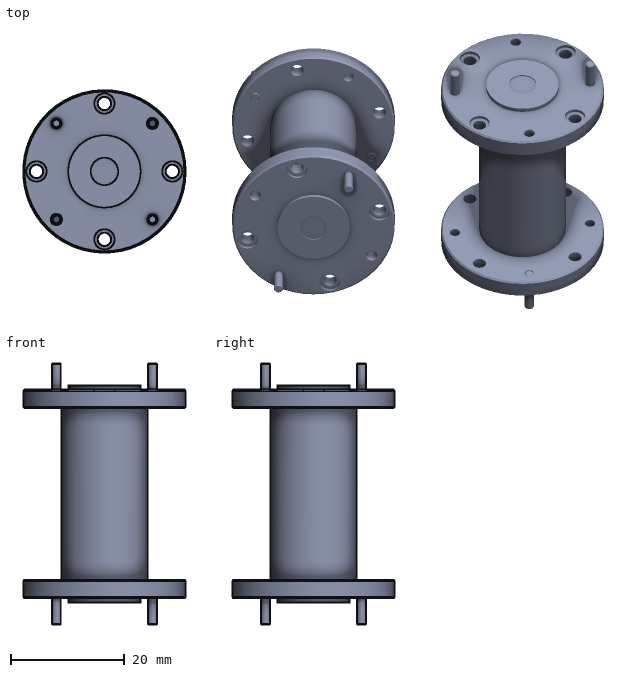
import cadquery as cq
import math

pin_tip_z = 22.92
flange_face_z = 18.35
flange_thickness = 3.3
flange_back_z = flange_face_z - flange_thickness

flange_diameter = 28.55
flange_chamfer = 0.28
tube_diameter = 15.2
boss_diameter = 12.7
boss_height = 0.75
boss_face_z = flange_face_z + boss_height
recess_diameter = 4.8
recess_depth = 0.2

bolt_circle_radius = 11.9
bolt_hole_diameter = 2.3
counterbore_diameter = 3.58
counterbore_depth = 0.55
dowel_hole_diameter = 1.8
dowel_countersink = 0.1
countersink_angle = 45
bolt_angles = [0, 90, 180, 270]
top_pin_angles = [135, 315]
bottom_pin_angles = [45, 225]

pin_diameter = 1.6
pin_chamfer = 0.16
pin_length = pin_tip_z - flange_back_z


def bolt_circle_points(angles):
    """Points on the bolt circle at the given angles in degrees."""
    return [
        (bolt_circle_radius * math.cos(math.radians(a)), bolt_circle_radius * math.sin(math.radians(a)))
        for a in angles
    ]


def cylinders(points, diameter, bottom_z, height):
    """One upright cylinder at each point."""
    return (
        cq.Workplane("XY")
        .workplane(offset=bottom_z)
        .pushPoints(points)
        .circle(diameter / 2)
        .extrude(height)
    )


def disc(diameter, bottom_z, height):
    """A cylinder on the Z axis."""
    return cylinders([(0, 0)], diameter, bottom_z, height)


def countersunk_holes(points, diameter):
    """Cutting shapes for flange through holes that widen at the outer face."""
    cutters = cylinders(points, diameter, flange_back_z, flange_thickness)
    countersinks = (
        cq.Workplane("XY")
        .workplane(offset=flange_face_z)
        .pushPoints(points)
        .circle(diameter / 2 + dowel_countersink)
        .extrude(-dowel_countersink, taper=countersink_angle)
    )
    return cutters.union(countersinks)


def flipped(shape):
    """Turn a shape over about the X axis, so that +Z becomes -Z."""
    return shape.rotate((0, 0, 0), (1, 0, 0), 180)


def make_flange(pin_angles, clearance_angles):
    """The flange at the +Z end, with its boss, recess and holes."""
    flange = disc(flange_diameter, flange_back_z, flange_thickness).edges().chamfer(flange_chamfer)
    flange = flange.union(disc(boss_diameter, flange_face_z, boss_height))
    flange = flange.cut(disc(recess_diameter, boss_face_z - recess_depth, recess_depth))

    bolt_points = bolt_circle_points(bolt_angles)
    counterbore_z = flange_face_z - counterbore_depth
    flange = flange.cut(cylinders(bolt_points, bolt_hole_diameter, flange_back_z, flange_thickness))
    flange = flange.cut(cylinders(bolt_points, counterbore_diameter, counterbore_z, counterbore_depth))

    for angles, diameter in ((pin_angles, pin_diameter), (clearance_angles, dowel_hole_diameter)):
        flange = flange.cut(countersunk_holes(bolt_circle_points(angles), diameter))
    return flange


def make_spool():
    """The tube with a flange at each end; the pin holes of the two ends are offset by 90 degrees."""
    tube = disc(tube_diameter, -flange_back_z, 2 * flange_back_z)
    top_flange = make_flange(top_pin_angles, bottom_pin_angles)
    bottom_flange = flipped(make_flange(top_pin_angles, bottom_pin_angles))
    return tube.union(top_flange).union(bottom_flange)


def make_pin(point):
    """A pin at the +Z end, chamfered at both ends."""
    return cylinders([point], pin_diameter, flange_back_z, pin_length).edges("%CIRCLE").chamfer(pin_chamfer)


spool = make_spool()

pins = []
for pin_point in bolt_circle_points(top_pin_angles):
    top_pin = make_pin(pin_point)
    pins.append(top_pin.val())
    pins.append(flipped(top_pin).val())

result = cq.Compound.makeCompound([spool.val(), *pins])